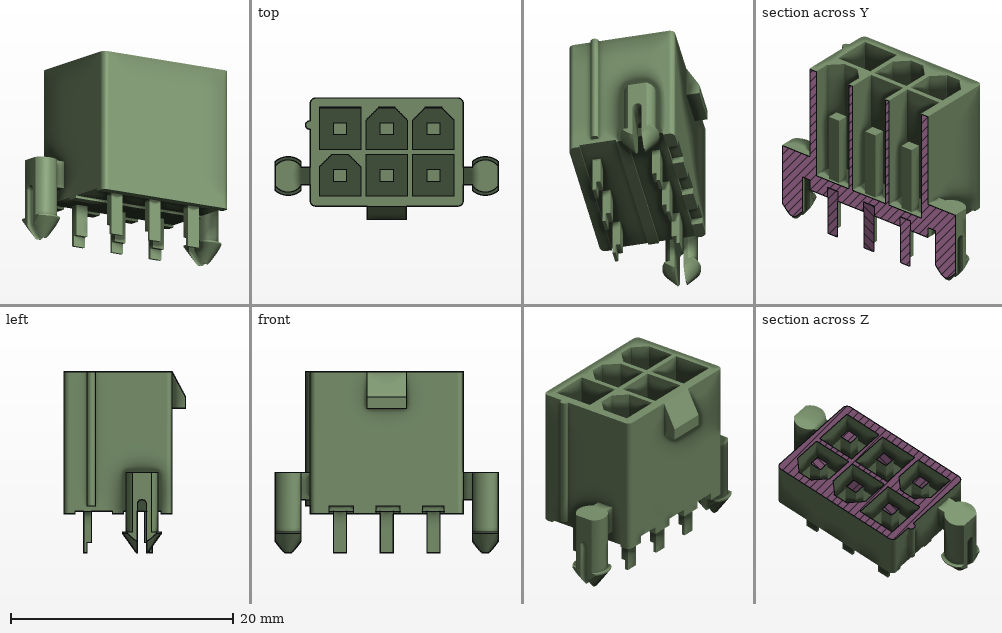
import cadquery as cq


pitch = 4.2
columns = 3
column_xs = [(i - (columns - 1) / 2) * pitch for i in range(columns)]
row_y = pitch / 2
rear, front = 1, -1

body_width = 13.79
body_depth = 9.75
body_height = 12.78
corner_radius = 0.5
half_width = body_width / 2
half_depth = body_depth / 2

cavity_size = 3.74
cavity_chamfer = 1.1
floor_top = 2.0
rear_relief = 0.08
rear_relief_bottom = 4.02
chamfered_cavities = {(0, front), (1, rear), (2, rear)}

channel_height = 0.22
channel_inner_y = 0.5
channel_outer_y = 3.85
notch_height = 0.68
notch_left = 0.98
notch_right = 1.2
notch_limit_x = 5.17

latch_width = 3.52
latch_reach = 1.2
latch_slope_height = 2.27
latch_height = 3.3

rib_radius = 0.38
rib_reach = 0.42
rib_y = 2.43
rib_bottom = 0.7

overall_width = 20.1
peg_thickness = 2.35
peg_x = (overall_width - peg_thickness) / 2
peg_y = -2.15
peg_radius = 1.45
peg_top = 3.72
barb_radius = 1.75
barb_top = -1.63
barb_rim_height = 0.15
barb_tip_radius = 0.5
peg_slot_width = 0.82
peg_slot_top = 1.27
arm_width = 1.59
arm_bottom = 1.25

pin_bottom = -3.52
pin_width = 1.19
post_depth = 1.05
post_top = 8.45
post_bottom = 0.6
leg_top = 1.2
leg_inner_y = 2.37
leg_outer_y = 3.1
tail_thickness = 0.3
tail_top = -2.6


def box(x_range, y_range, z_range):
    """Axis-aligned box between two limits on each axis."""
    (x0, x1), (y0, y1), (z0, z1) = x_range, y_range, z_range
    size = (abs(x1 - x0), abs(y1 - y0), z1 - z0)
    corner = (min(x0, x1), min(y0, y1), z0)
    return cq.Workplane("XY").box(*size, centered=False).translate(corner)


def make_cavity(column, row):
    """Space for one contact, open at the top of the housing."""
    half = cavity_size / 2
    cavity = box((-half, half), (-half, half), (floor_top, body_height))
    back_half = half
    if (column, row) in chamfered_cavities:
        cavity = cavity.faces(">Y").edges("|Z").chamfer(cavity_chamfer)
        back_half = half - cavity_chamfer
    if row == rear:
        relief_y = (half, half + rear_relief)
        relief = box((-back_half, back_half), relief_y, (rear_relief_bottom, body_height))
        cavity = cavity.union(relief)
    return cavity.translate((column_xs[column], row * row_y, 0))


def make_latch():
    """Wedge-shaped catch on the -Y wall."""
    return (
        cq.Workplane("YZ")
        .polyline([
            (-half_depth, body_height),
            (-half_depth - latch_reach, body_height - latch_slope_height),
            (-half_depth - latch_reach, body_height - latch_height),
            (-half_depth, body_height - latch_height),
        ])
        .close()
        .extrude(latch_width / 2, both=True)
    )


def make_rib():
    """Upright keying rib with a half-round nose."""
    nose_x = -half_width - rib_reach + rib_radius
    return (
        cq.Workplane("XY", origin=(0, rib_y, rib_bottom))
        .moveTo(-half_width, -rib_radius)
        .lineTo(nose_x, -rib_radius)
        .threePointArc((-half_width - rib_reach, 0), (nose_x, rib_radius))
        .lineTo(-half_width, rib_radius)
        .close()
        .extrude(body_height - rib_bottom)
    )


def make_peg(side):
    """Split, barbed board peg with its arm; side is -1 or +1 along X."""
    cone_top = barb_top - barb_rim_height
    round_peg = (
        cq.Workplane("XZ")
        .polyline([
            (0, peg_top), (peg_radius, peg_top), (peg_radius, barb_top), (barb_radius, barb_top),
            (barb_radius, cone_top), (barb_tip_radius, pin_bottom), (0, pin_bottom),
        ])
        .close()
        .revolve(360, (0, 0, 0), (0, 1, 0))
    )
    half = peg_thickness / 2
    slab = box((-half, half), (-barb_radius, barb_radius), (pin_bottom, peg_top))
    slot_radius = peg_slot_width / 2
    slot_arc_z = peg_slot_top - slot_radius
    slot = (
        cq.Workplane("YZ")
        .moveTo(-slot_radius, pin_bottom)
        .lineTo(-slot_radius, slot_arc_z)
        .threePointArc((0, peg_slot_top), (slot_radius, slot_arc_z))
        .lineTo(slot_radius, pin_bottom)
        .close()
        .extrude(half, both=True)
    )
    peg = round_peg.intersect(slab).cut(slot).translate((side * peg_x, peg_y, 0))
    arm = box(
        (side * half_width, side * (peg_x - half)),
        (peg_y - arm_width / 2, peg_y + arm_width / 2),
        (arm_bottom, peg_top),
    )
    return peg.union(arm)


def make_pin(x, row):
    """Contact pin: a post in the cavity and an offset leg with a thin tail."""
    x_range = (x - pin_width / 2, x + pin_width / 2)
    post_y = (row * (row_y - post_depth / 2), row * (row_y + post_depth / 2))
    post = box(x_range, post_y, (post_bottom, post_top))
    leg = box(x_range, (row * leg_inner_y, row * leg_outer_y), (tail_top, leg_top))
    tail_y = (row * (leg_outer_y - tail_thickness), row * leg_outer_y)
    tail = box(x_range, tail_y, (pin_bottom, tail_top))
    return post.union(leg).union(tail)


def make_housing(pins):
    """Housing with latch, rib and pegs, hollowed out and fitted around the pins."""
    housing = (
        box((-half_width, half_width), (-half_depth, half_depth), (0, body_height))
        .edges("|Z")
        .fillet(corner_radius)
    )
    housing = housing.union(make_latch()).union(make_rib())
    for side in (-1, 1):
        housing = housing.union(make_peg(side))
    for row in (rear, front):
        for column in range(columns):
            housing = housing.cut(make_cavity(column, row))
        channel_y = (row * channel_inner_y, row * channel_outer_y)
        housing = housing.cut(box((-half_width, half_width), channel_y, (0, channel_height)))
    for x in column_xs:
        notch_x = (x - notch_left, min(x + notch_right, notch_limit_x))
        housing = housing.cut(box(notch_x, (-half_depth, -channel_outer_y), (0, notch_height)))
    for pin in pins:
        housing = housing.cut(pin)
    return housing


pins = [make_pin(x, row) for row in (rear, front) for x in column_xs]
housing = make_housing(pins)
result = cq.Compound.makeCompound([housing.val(), *[pin.val() for pin in pins]])